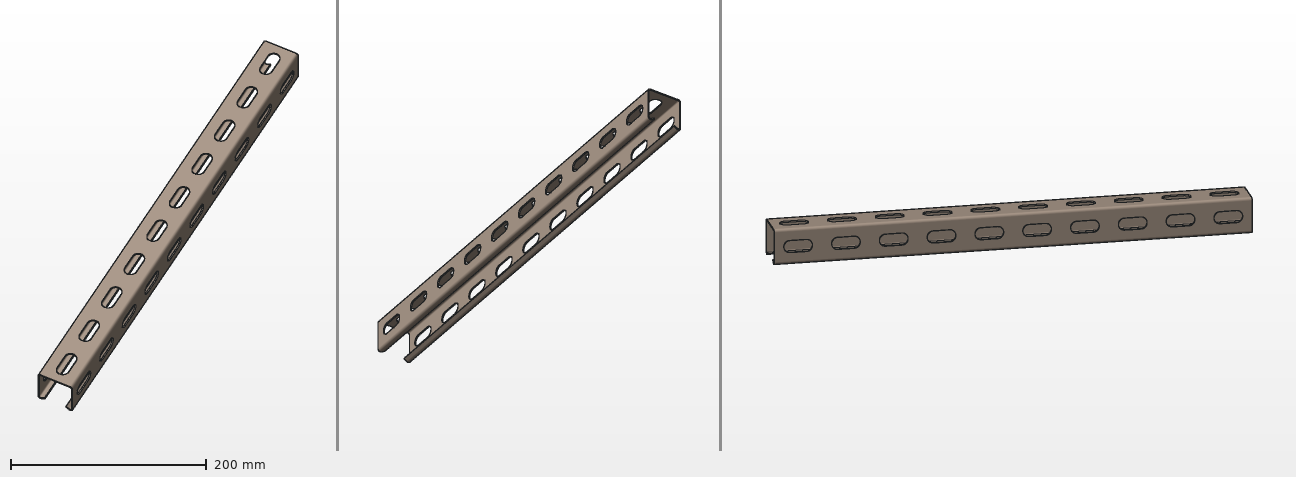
import cadquery as cq
import math

length = 500.0
width = 40.0
height = 38.0
sheet = 1.5

outer_bend = 3.0
inner_bend = outer_bend - sheet
lip_slope = math.radians(30)
opening = 23.5

slot_count = 10
slot_pitch = length / slot_count
slot_length = 30.0
slot_width = 13.0

half_width = width / 2
half_height = height / 2


def polar_point(center, radius, angle):
    """Point in the section at a radius and angle from a center."""
    return (center[0] + radius * math.cos(angle), center[1] + radius * math.sin(angle))


def half_section():
    """Sheet section on the +X side, from the middle of the web to the lip edge."""
    bend_x = half_width - outer_bend
    bend_z = half_height - outer_bend
    top_bend = (bend_x, bend_z)
    low_bend = (bend_x, -bend_z)
    inner_wall_x = half_width - sheet
    web_under_z = half_height - sheet

    top_mid = math.radians(45)
    low_end = -math.pi / 2 - lip_slope
    low_mid = low_end / 2

    lip_start = polar_point(low_bend, outer_bend, low_end)
    lip_rise = (lip_start[0] - opening / 2) * math.tan(lip_slope)
    lip_tip = (opening / 2, lip_start[1] + lip_rise)
    lip_tip_upper = polar_point(lip_tip, sheet, math.pi / 2 - lip_slope)

    return (
        cq.Workplane("XZ")
        .moveTo(0, half_height)
        .lineTo(bend_x, half_height)
        .threePointArc(polar_point(top_bend, outer_bend, top_mid), (half_width, bend_z))
        .lineTo(half_width, -bend_z)
        .threePointArc(polar_point(low_bend, outer_bend, low_mid), lip_start)
        .lineTo(*lip_tip)
        .lineTo(*lip_tip_upper)
        .lineTo(*polar_point(low_bend, inner_bend, low_end))
        .threePointArc(polar_point(low_bend, inner_bend, low_mid), (inner_wall_x, -bend_z))
        .lineTo(inner_wall_x, bend_z)
        .threePointArc(polar_point(top_bend, inner_bend, top_mid), (bend_x, web_under_z))
        .lineTo(0, web_under_z)
        .close()
    )


def channel():
    """Plain channel along Y, mirrored about its middle plane."""
    half = half_section().extrude(length / 2, both=True)
    return half.union(half.mirror("YZ"))


def web_slots():
    """Cutters that pass through the web only."""
    return (
        cq.Workplane("XY")
        .rarray(5, slot_pitch, 1, slot_count)
        .slot2D(slot_length, slot_width, 90)
        .extrude(height)
    )


def side_slots():
    """Cutters at mid height that pass through both sides."""
    return (
        cq.Workplane("YZ")
        .rarray(slot_pitch, 5, slot_count, 1)
        .slot2D(slot_length, slot_width)
        .extrude(width, both=True)
    )


result = channel().cut(web_slots()).cut(side_slots())